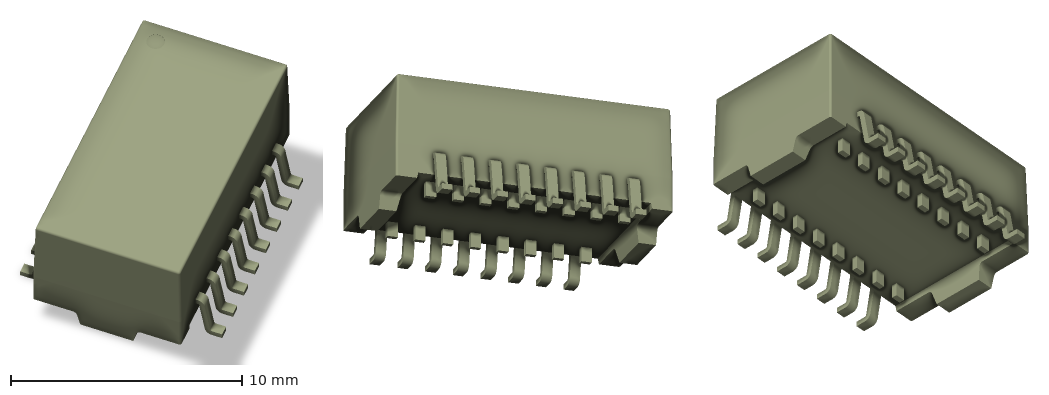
import cadquery as cq
import math

body_length = 12.7
body_width = 6.91
body_height = 5.65
parting_z = 2.4
floor_z = 0.86
cap_draft = 1.5
body_round = 0.1

foot_z = 0.13
foot_half_width = 1.23
foot_flank_angle = 15.0
foot_root_round = 0.2
foot_thickness = 0.8
channel_roof_z = 1.12
channel_end_thickness = 1.02

overall_width = 9.4
leads_per_side = 8
lead_pitch = 1.27
lead_width = 0.47
lead_thickness = 0.25
lead_top_z = 2.08
lead_stub = 0.1
lead_embed = 0.13
lead_slope = 10.0
bend_inner_radius = 0.08
bend_outer_radius = bend_inner_radius + lead_thickness

pin_x = 2.49
pin_tip_z = 0.45

mark_diameter = 0.8
mark_depth = 0.01
mark_x = -2.4
mark_y = 5.3

lead_positions = [(i - (leads_per_side - 1) / 2) * lead_pitch for i in range(leads_per_side)]


def make_cap():
    """Drafted upper housing with rounded corners and top rim."""
    cap = (
        cq.Workplane("XY")
        .workplane(offset=parting_z)
        .rect(body_width, body_length)
        .extrude(body_height - parting_z, taper=cap_draft)
    )
    return cap.edges("not <Z").fillet(body_round)


def make_base():
    """Rounded base block with a tapered foot running along its full length."""
    base = (
        cq.Workplane("XY")
        .workplane(offset=floor_z)
        .rect(body_width, body_length)
        .extrude(parting_z - floor_z)
        .edges("|Z")
        .fillet(body_round)
    )
    half_root = foot_half_width + (floor_z - foot_z) * math.tan(math.radians(foot_flank_angle))
    foot = (
        cq.Workplane("XZ")
        .polyline([
            (-foot_half_width, foot_z),
            (foot_half_width, foot_z),
            (half_root, floor_z),
            (-half_root, floor_z),
        ])
        .close()
        .extrude(body_length / 2, both=True)
    )
    base = base.union(foot)
    for x in (-half_root, half_root):
        base = base.edges(cq.selectors.NearestToPointSelector((x, 0, floor_z))).fillet(foot_root_round)
    return base


def make_channel():
    """Cutter that leaves a sloped foot at each end and raises the floor between them."""
    half_roof = body_length / 2 - channel_end_thickness
    half_mouth = body_length / 2 - foot_thickness
    return (
        cq.Workplane("YZ")
        .polyline([
            (-half_mouth, foot_z),
            (half_mouth, foot_z),
            (half_roof, channel_roof_z),
            (-half_roof, channel_roof_z),
        ])
        .close()
        .extrude(body_width / 2, both=True)
    )


def make_lead():
    """One lead on the +X side, centred on Y = 0."""
    upper_x = body_width / 2 + lead_stub
    upper_z = lead_top_z - bend_outer_radius
    lower_z = bend_outer_radius
    slope = math.radians(lead_slope)
    bend_run = (
        bend_outer_radius + bend_inner_radius + (upper_z - lower_z) * math.sin(slope)
    ) / math.cos(slope)
    lower_x = upper_x + bend_run

    def upper(radius, degrees):
        angle = math.radians(degrees)
        return (upper_x + radius * math.cos(angle), upper_z + radius * math.sin(angle))

    def lower(radius, degrees):
        angle = math.radians(degrees)
        return (lower_x + radius * math.cos(angle), lower_z + radius * math.sin(angle))

    upper_middle = (90 + lead_slope) / 2
    lower_middle = upper_middle + 180
    lower_start = lead_slope + 180
    root_x = body_width / 2 - lead_embed
    return (
        cq.Workplane("XZ")
        .moveTo(root_x, lead_top_z)
        .lineTo(*upper(bend_outer_radius, 90))
        .threePointArc(upper(bend_outer_radius, upper_middle), upper(bend_outer_radius, lead_slope))
        .lineTo(*lower(bend_inner_radius, lower_start))
        .threePointArc(lower(bend_inner_radius, lower_middle), lower(bend_inner_radius, 270))
        .lineTo(overall_width / 2, lead_thickness)
        .lineTo(overall_width / 2, 0)
        .lineTo(*lower(bend_outer_radius, 270))
        .threePointArc(lower(bend_outer_radius, lower_middle), lower(bend_outer_radius, lower_start))
        .lineTo(*upper(bend_inner_radius, lead_slope))
        .threePointArc(upper(bend_inner_radius, upper_middle), upper(bend_inner_radius, 90))
        .lineTo(root_x, lead_top_z - lead_thickness)
        .close()
        .extrude(lead_width / 2, both=True)
    )


def make_pins():
    """Two rows of rectangular pins, each rooted inside the housing."""
    return (
        cq.Workplane("XY")
        .workplane(offset=pin_tip_z)
        .pushPoints([(x, y) for x in (-pin_x, pin_x) for y in lead_positions])
        .rect(lead_thickness, lead_width)
        .extrude(parting_z - pin_tip_z)
    )


def make_mark():
    """Cutter for the shallow round mark on the top face."""
    return (
        cq.Workplane("XY")
        .workplane(offset=body_height - mark_depth)
        .center(mark_x, mark_y)
        .circle(mark_diameter / 2)
        .extrude(mark_depth)
    )


result = make_base().union(make_cap()).cut(make_channel()).cut(make_mark())
result = result.union(make_pins())

right_lead = make_lead()
left_lead = right_lead.mirror("YZ")
for y in lead_positions:
    result = result.union(right_lead.translate((0, y, 0)))
    result = result.union(left_lead.translate((0, y, 0)))